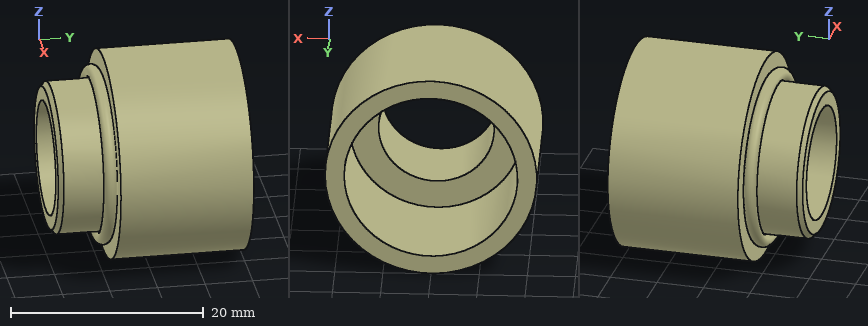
import cadquery as cq
import math

body_diameter = 22.0
total_length = 20.0
body_length = 14.0
neck_diameter = 16.0
bore_diameter = 12.0
bore_length = 8.0
counterbore_diameter = 18.0
neck_chamfer = 0.5
ring_thickness = 1.4

body_radius = body_diameter / 2
neck_radius = neck_diameter / 2
bore_radius = bore_diameter / 2
counterbore_radius = counterbore_diameter / 2
ring_radius = ring_thickness / 2

shoulder_y = -body_length
neck_end_y = -total_length
bore_step_y = neck_end_y + bore_length

ring_center_x = neck_radius + ring_radius
ring_center_y = shoulder_y - ring_radius
arc_offset = ring_radius * math.sqrt(0.5)

half_section = (
    cq.Workplane("XY")
    .moveTo(counterbore_radius, 0)
    .lineTo(body_radius, 0)
    .lineTo(body_radius, shoulder_y)
    .lineTo(ring_center_x, shoulder_y)
    .threePointArc(
        (ring_center_x + arc_offset, ring_center_y - arc_offset),
        (neck_radius, ring_center_y),
    )
    .lineTo(neck_radius, neck_end_y + neck_chamfer)
    .lineTo(neck_radius - neck_chamfer, neck_end_y)
    .lineTo(bore_radius, neck_end_y)
    .lineTo(bore_radius, bore_step_y)
    .lineTo(counterbore_radius, bore_step_y)
    .close()
)

result = half_section.revolve(360, (0, 0, 0), (0, 1, 0))